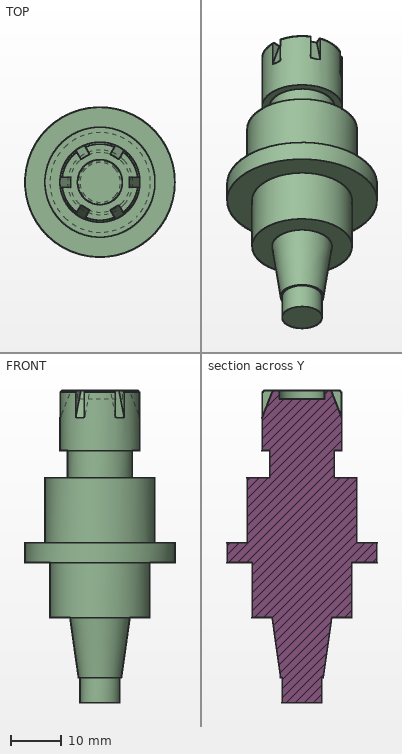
import cadquery as cq

spigot_diameter = 8.0
spigot_length = 5.0
taper_small_diameter = 8.6
taper_large_diameter = 12.0
taper_length = 12.0
lower_body_diameter = 20.0
lower_body_length = 11.0
flange_diameter = 30.0
flange_thickness = 4.0
upper_body_diameter = 22.0
upper_body_length = 13.0
neck_diameter = 13.0
neck_length = 5.4
nut_diameter = 16.0
nut_length = 12.0
nut_chamfer = 0.4

bore_diameter = 9.0
bore_depth = 1.7

slot_count = 6
slot_width = 2.0
slot_floor_radius = 5.85
slot_length = 5.5
cut_clearance = 1.0


def add_section(body, bottom_diameter, length, top_diameter=None):
    """Stack a cylinder, or a cone if a top diameter is given, on top of the body."""
    section = body.faces(">Z").workplane(origin=(0, 0, 0)).circle(bottom_diameter / 2)
    if top_diameter is None:
        return section.extrude(length)
    return section.workplane(offset=length).circle(top_diameter / 2).loft(combine=True)


def make_spindle():
    """Everything below the clamping nut."""
    body = cq.Workplane("XY").circle(spigot_diameter / 2).extrude(spigot_length)
    body = add_section(body, taper_small_diameter, taper_length, taper_large_diameter)
    body = add_section(body, lower_body_diameter, lower_body_length)
    body = add_section(body, flange_diameter, flange_thickness)
    body = add_section(body, upper_body_diameter, upper_body_length)
    return add_section(body, neck_diameter, neck_length)


def make_slot_cutter():
    """Wedge along +X whose sloping floor meets the nut wall at the slot's lower end."""
    nut_radius = nut_diameter / 2
    floor_slope = (nut_radius - slot_floor_radius) / slot_length
    above_top = nut_length + cut_clearance
    return (
        cq.Workplane("XZ")
        .moveTo(nut_radius, nut_length - slot_length)
        .lineTo(nut_radius + cut_clearance, nut_length - slot_length)
        .lineTo(nut_radius + cut_clearance, above_top)
        .lineTo(slot_floor_radius - floor_slope * cut_clearance, above_top)
        .close()
        .extrude(slot_width / 2, both=True)
    )


def make_nut():
    """Clamping nut with its base at Z = 0."""
    nut = cq.Workplane("XY").circle(nut_diameter / 2).extrude(nut_length)
    nut = nut.faces(">Z").chamfer(nut_chamfer)
    nut = nut.faces(">Z").workplane().hole(bore_diameter, bore_depth)
    cutter = make_slot_cutter()
    for index in range(slot_count):
        angle = index * 360 / slot_count
        nut = nut.cut(cutter.rotate((0, 0, 0), (0, 0, 1), angle))
    return nut


spindle = make_spindle()
nut_base = spindle.faces(">Z").val().Center().z
result = spindle.union(make_nut().translate((0, 0, nut_base)))